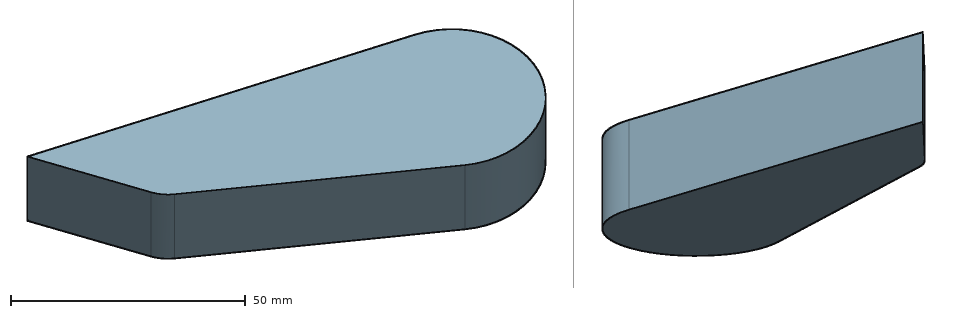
import cadquery as cq
import math

length = 110.0
head_radius = 20.0
thickness = 20.0
corner_radius = 10.0
bevel_size = 20.0
bevel_angle = math.radians(45)

head_x = head_radius
head_y = length - head_radius

corner_x = bevel_size - corner_radius * math.sin(bevel_angle)
corner_y = bevel_size + corner_radius * math.cos(bevel_angle)

center_dx = head_x - corner_x
center_dy = head_y - corner_y
center_distance = math.hypot(center_dx, center_dy)
lean_of_centers = math.atan2(center_dx, center_dy)
lean_from_radii = math.asin((head_radius - corner_radius) / center_distance)
side_lean = lean_of_centers + lean_from_radii


def point_on_arc(center_x, center_y, radius, angle):
    """Point on a circle, with the angle measured from +X."""
    return center_x + radius * math.cos(angle), center_y + radius * math.sin(angle)


corner_middle_angle = -(bevel_angle + side_lean) / 2
corner_middle = point_on_arc(corner_x, corner_y, corner_radius, corner_middle_angle)
corner_end = point_on_arc(corner_x, corner_y, corner_radius, -side_lean)
head_start = point_on_arc(head_x, head_y, head_radius, -side_lean)
head_top = (head_x, length)
head_end = (0, head_y)

result = (
    cq.Workplane("XY")
    .moveTo(0, 0)
    .lineTo(bevel_size, bevel_size * math.tan(bevel_angle))
    .threePointArc(corner_middle, corner_end)
    .lineTo(*head_start)
    .threePointArc(head_top, head_end)
    .close()
    .extrude(thickness)
)